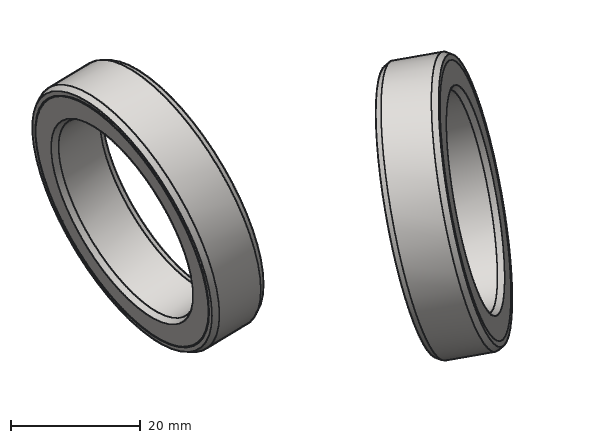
import cadquery as cq
import math

outer_diameter = 47.0
bore_diameter = 35.0
split_diameter = 44.0
ring_width = 10.0

chamfer_length = 1.0
chamfer_angle = 30.0
chamfer_depth = chamfer_length * math.tan(math.radians(chamfer_angle))

groove_length = 0.2
groove_width = 0.14

outer_radius = outer_diameter / 2
bore_radius = bore_diameter / 2
split_radius = split_diameter / 2
front_y = -ring_width / 2
back_y = ring_width / 2


def chamfered_wall(wall_radius, face_radius):
    """Profile points of a wall chamfered at both ends, from the front face to the back face."""
    return [
        (face_radius, front_y),
        (wall_radius, front_y + chamfer_length),
        (wall_radius, back_y - chamfer_length),
        (face_radius, back_y),
    ]


def revolve_about_y(profile):
    """Turn a closed (radius, y) profile into a ring around the Y axis."""
    return cq.Workplane("XY").polyline(profile).close().revolve(360, (0, 0, 0), (0, 1, 0))


def make_outer_ring():
    """Ring with a chamfered outside diameter and a small chamfer at the front of the joint."""
    profile = chamfered_wall(outer_radius, outer_radius - chamfer_depth)
    profile += [
        (split_radius, back_y),
        (split_radius, front_y + groove_length),
        (split_radius + groove_width, front_y),
    ]
    return revolve_about_y(profile)


def make_inner_ring():
    """Ring with a chamfered bore and a plain wall at the joint."""
    profile = chamfered_wall(bore_radius, bore_radius + chamfer_depth)
    profile += [
        (split_radius, back_y),
        (split_radius, front_y),
    ]
    return revolve_about_y(profile)


outer_ring = make_outer_ring()
inner_ring = make_inner_ring()

result = cq.Compound.makeCompound([outer_ring.val(), inner_ring.val()])